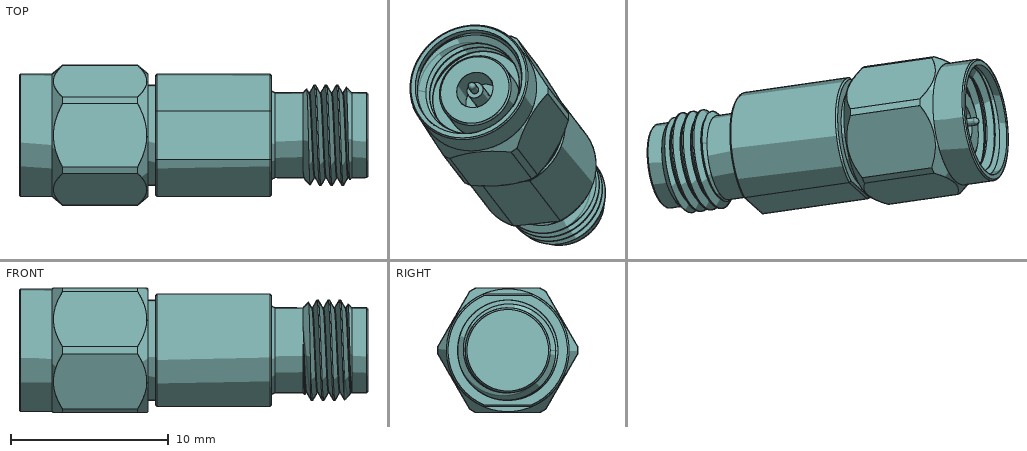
import cadquery as cq
import math


overall_length = 22.1
nut_start = 2.08
nut_end = 8.15
body_start = 8.62
body_end = 15.98

collar_radius = 3.9
collar_edge_break = 0.09
nut_across_flats = 7.91
nut_corner_radius = 4.45
nut_bevel_length = 0.66
nut_bevel_end_radius = 3.9
neck_radius = 3.18

bore_radius = 3.51
bore_depth = 3.54

spigot_radius = 2.36
spigot_face = 1.44
spigot_edge_break = 0.1
cavity_radius = 1.2
cavity_depth = 2.2
core_radius = 0.53
core_setback = 0.05
pin_radius = 0.25
pin_length = 0.97

body_radius = 3.9
body_across_flats = 7.14
body_edge_break = 0.1

jack_radius = 2.7
jack_root_radius = 2.8
jack_root_length = 0.22
jack_edge_break = 0.1

thread_pitch = 0.7
thread_crest_width = 0.09
thread_flank_angle = 30.0
thread_sink = 0.02
jack_thread_start = 17.97
jack_thread_end = 21.06
jack_thread_radius = 3.18
jack_first_crest = 17.83
nut_thread_start = 0.49
nut_thread_end = 3.1
nut_thread_radius = 3.0
nut_first_crest = 0.66


def revolved(outline):
    """Revolve (x, radius) points about the X axis."""
    return cq.Workplane("XY").polyline(outline).close().revolve(360, (0, 0, 0), (1, 0, 0))


def cylinder(start, end, radius):
    return cq.Workplane("YZ", origin=(start, 0, 0)).circle(radius).extrude(end - start)


def make_thread_trim(run_out, far_end, base_radius, crest_radius):
    """Ring with a 45 degree conical face, clearing the ridge from run_out outwards to far_end."""
    height = crest_radius - base_radius
    margin = math.copysign(2 * thread_sink, height)
    buried_radius = base_radius - margin
    clear_radius = crest_radius + margin
    cone_length = math.copysign(abs(clear_radius - base_radius), run_out - far_end)
    return revolved([
        (far_end, buried_radius),
        (far_end, clear_radius),
        (run_out + cone_length, clear_radius),
        (run_out, base_radius),
        (run_out, buried_radius),
    ])


def make_thread(start, end, first_crest, base_radius, crest_radius):
    """Right-hand V ridge from base_radius to crest_radius with a 45 degree run-out at both ends."""
    foot_radius = base_radius - math.copysign(thread_sink, crest_radius - base_radius)
    flank_width = abs(crest_radius - foot_radius) * math.tan(math.radians(thread_flank_angle))
    half_crest = thread_crest_width / 2
    half_foot = half_crest + flank_width

    coil_start = first_crest - thread_pitch
    turns = math.ceil((end - coil_start) / thread_pitch) + 1
    coil_end = coil_start + turns * thread_pitch
    helix = cq.Wire.makeHelix(thread_pitch, turns * thread_pitch, foot_radius)
    section = cq.Workplane("XZ").polyline([
        (foot_radius, -half_foot),
        (crest_radius, -half_crest),
        (crest_radius, half_crest),
        (foot_radius, half_foot),
    ]).close()
    coil = section.sweep(cq.Workplane(helix), isFrenet=True)
    coil = coil.rotate((0, 0, 0), (0, 1, 0), 90).translate((coil_start, 0, 0))
    coil = coil.cut(make_thread_trim(start, coil_start - thread_pitch, base_radius, crest_radius))
    return coil.cut(make_thread_trim(end, coil_end + thread_pitch, base_radius, crest_radius))


def make_nut():
    length = nut_end - nut_start
    corner_diameter = nut_across_flats / math.cos(math.pi / 6)
    hexagon = cq.Workplane("YZ", origin=(nut_start, 0, 0)).polygon(6, corner_diameter).extrude(length)
    bevelled_round = revolved([
        (nut_start, 0),
        (nut_start, nut_bevel_end_radius),
        (nut_start + nut_bevel_length, nut_corner_radius),
        (nut_end - nut_bevel_length, nut_corner_radius),
        (nut_end, nut_bevel_end_radius),
        (nut_end, 0),
    ])
    collar = cylinder(0, nut_start, collar_radius).faces("<X").chamfer(collar_edge_break)
    return hexagon.intersect(bevelled_round).union(collar)


def make_spigot():
    cavity_floor = spigot_face + cavity_depth
    core_face = spigot_face + core_setback
    sleeve = cylinder(spigot_face, cavity_floor, spigot_radius).faces("<X").chamfer(spigot_edge_break)
    sleeve = sleeve.cut(cylinder(spigot_face, cavity_floor, cavity_radius))
    core = cylinder(core_face, cavity_floor, core_radius)
    dome_centre = core_face - pin_length + pin_radius
    pin = cylinder(dome_centre, core_face, pin_radius)
    dome = cq.Workplane("XY").sphere(pin_radius).translate((dome_centre, 0, 0))
    return sleeve.union(core).union(pin).union(dome)


def make_body():
    length = body_end - body_start
    blank = cylinder(body_start, body_end, body_radius)
    flats = cq.Workplane("XY").box(length, 2 * body_radius, body_across_flats)
    flats = flats.translate((body_start + length / 2, 0, 0))
    return blank.intersect(flats).faces("<X or >X").chamfer(body_edge_break)


def make_jack():
    return revolved([
        (body_end, 0),
        (body_end, jack_root_radius),
        (body_end + jack_root_length, jack_radius),
        (overall_length - jack_edge_break, jack_radius),
        (overall_length, jack_radius - jack_edge_break),
        (overall_length, 0),
    ])


def make_nut_thread():
    return make_thread(nut_thread_start, nut_thread_end, nut_first_crest, bore_radius, nut_thread_radius)


def make_jack_thread():
    return make_thread(
        jack_thread_start, jack_thread_end, jack_first_crest, jack_radius, jack_thread_radius
    )


neck = cylinder(nut_end, body_start, neck_radius)
result = (
    make_nut()
    .cut(cylinder(0, bore_depth, bore_radius))
    .union(make_nut_thread())
    .union(make_spigot())
    .union(neck)
    .union(make_body())
    .union(make_jack())
    .union(make_jack_thread())
)